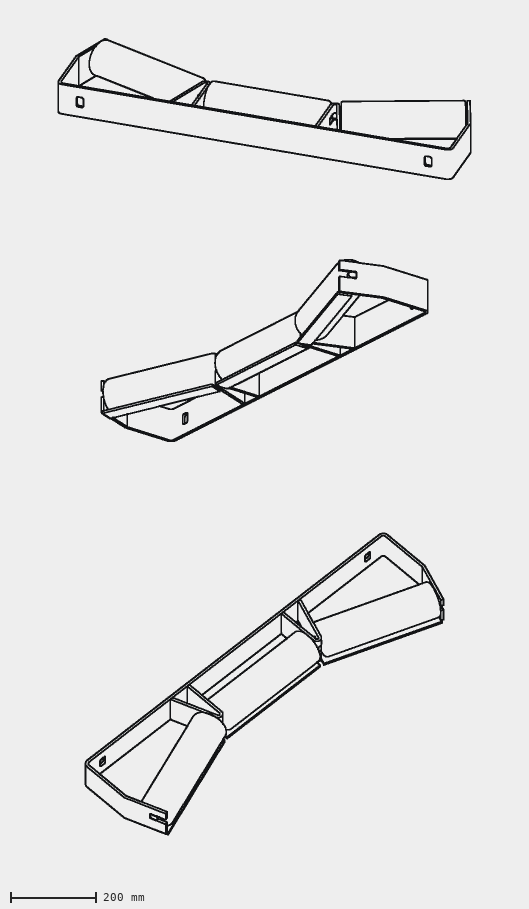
import cadquery as cq
import math

frame_length = 980.0
strip_height = 79.0
strip_thickness = 7.0
frame_corner_radius = 14.0
arm_bend_radius = 8.0
arm_tip_y = 241.0

bracket_fold_radius = 11.0

trough_angle = 20.0
roller_radius = 44.0
roller_length = 292.0
roller_edge_radius = 5.0
roller_axis_z = 47.0
end_gap = 4.0
middle_roller_y = 101.0
side_roller_x = 317.0
side_roller_y = 158.0

axle_diameter = 20.0
axle_flat_height = 14.0
slot_width = 18.0
slot_corner_radius = 4.0

guard_length = 304.0
guard_width = 35.0
guard_thickness = 6.0

bolt_slot_x = 432.0
bolt_slot_width = 18.0
bolt_slot_height = 26.0
bolt_slot_corner_radius = 5.0

half_length = frame_length / 2
tilt = math.radians(trough_angle)
support_offset = roller_length / 2 + end_gap
MIDDLE = (0.0, middle_roller_y, 0.0)
LEFT = (-side_roller_x, side_roller_y, -trough_angle)
RIGHT = (side_roller_x, side_roller_y, trough_angle)
roller_places = [LEFT, MIDDLE, RIGHT]


def place(body, spot):
    """Move a body from the roller's own axes to the spot (x, y, turn about Z)."""
    x, y, turn = spot
    return body.rotate((0, 0, 0), (0, 0, 1), turn).translate((x, y, 0))


def left_support_x(side, depth, y):
    """X at height y of a plane square to the left roller's axis.

    side is -1 for its outer end and +1 for its inner end; depth is measured
    outward from the support face that the roller end looks at.
    """
    along = side * (support_offset + depth)
    axis_x = -side_roller_x + along * math.cos(tilt)
    axis_y = side_roller_y - along * math.sin(tilt)
    return axis_x + (y - axis_y) * math.tan(tilt)


def left_support_y(side, depth, x):
    """Y at which the same plane reaches the given x."""
    return (x - left_support_x(side, depth, 0)) / math.tan(tilt)


def fillet_upright(body, x, y, radius):
    """Round the vertical edge at (x, y)."""
    edge = cq.selectors.NearestToPointSelector((x, y, strip_height / 2))
    return body.edges("|Z").edges(edge).fillet(radius)


def mirrored(body):
    return body.mirror("YZ")


def axle_slots(spot):
    """Cutter for the slots at both ends of one roller, open toward +Y."""
    slot_length = 2 * roller_radius
    slot_reach = 2 * (support_offset + strip_thickness + end_gap)
    slot = (
        cq.Workplane("XY")
        .box(slot_reach, slot_length, slot_width, centered=(True, False, True))
        .edges("|X and <Y")
        .fillet(slot_corner_radius)
        .translate((0, -axle_diameter / 2, roller_axis_z))
    )
    return place(slot, spot)


def make_frame():
    """Long bar with an upright arm at each end that leans inward to its tip."""
    inner_x = half_length - strip_thickness
    outer_bend_y = left_support_y(-1, strip_thickness, -half_length)
    inner_bend_y = left_support_y(-1, 0, -inner_x)
    tip_outer_x = left_support_x(-1, strip_thickness, arm_tip_y)
    tip_inner_y = arm_tip_y - strip_thickness * math.sin(tilt)
    half = (
        cq.Workplane("XY")
        .polyline([
            (0, 0),
            (-half_length, 0),
            (-half_length, outer_bend_y),
            (tip_outer_x, arm_tip_y),
            (left_support_x(-1, 0, tip_inner_y), tip_inner_y),
            (-inner_x, inner_bend_y),
            (-inner_x, strip_thickness),
            (0, strip_thickness),
        ])
        .close()
        .extrude(strip_height)
    )
    half = fillet_upright(half, -half_length, 0, frame_corner_radius)
    half = fillet_upright(half, -inner_x, strip_thickness, frame_corner_radius - strip_thickness)
    half = fillet_upright(half, -half_length, outer_bend_y, arm_bend_radius)
    bolt_slot = (
        cq.Workplane("XY")
        .box(bolt_slot_width, 2 * strip_thickness, bolt_slot_height)
        .edges("|Y")
        .fillet(bolt_slot_corner_radius)
        .translate((-bolt_slot_x, 0, strip_height / 2))
    )
    half = half.cut(bolt_slot).cut(axle_slots(LEFT))
    return half.union(mirrored(half))


def make_left_bracket():
    """Folded strip standing on the frame between the left and middle rollers."""
    foot_y = strip_thickness
    leg_face_x = -support_offset
    leg_back_x = leg_face_x - strip_thickness
    outer_apex_y = left_support_y(1, 0, leg_face_x)
    inner_apex_y = left_support_y(1, strip_thickness, leg_back_x)
    bracket = (
        cq.Workplane("XY")
        .polyline([
            (left_support_x(1, 0, foot_y), foot_y),
            (leg_face_x, outer_apex_y),
            (leg_face_x, foot_y),
            (leg_back_x, foot_y),
            (leg_back_x, inner_apex_y),
            (left_support_x(1, strip_thickness, foot_y), foot_y),
        ])
        .close()
        .extrude(strip_height)
    )
    inner_fold_radius = bracket_fold_radius - strip_thickness
    bracket = fillet_upright(bracket, leg_back_x, inner_apex_y, inner_fold_radius)
    bracket = fillet_upright(bracket, leg_face_x, outer_apex_y, bracket_fold_radius)
    return bracket.cut(axle_slots(LEFT)).cut(axle_slots(MIDDLE))


def make_guard(spot):
    """Flat plate under the +Y half of a roller."""
    guard = (
        cq.Workplane("XY")
        .box(guard_length, guard_width, guard_thickness, centered=(True, False, False))
        .translate((0, 0, -guard_thickness))
    )
    return place(guard, spot)


def make_roller(spot):
    """Drum on a flatted axle whose ends are flush with the outsides of its supports."""
    drum = (
        cq.Workplane("YZ")
        .circle(roller_radius)
        .extrude(roller_length)
        .translate((-roller_length / 2, 0, 0))
        .edges()
        .fillet(roller_edge_radius)
    )
    axle_length = 2 * (support_offset + strip_thickness)
    axle = (
        cq.Workplane("YZ")
        .circle(axle_diameter / 2)
        .extrude(axle_length)
        .translate((-axle_length / 2, 0, 0))
    )
    flats = cq.Workplane("XY").box(axle_length, axle_diameter, axle_flat_height)
    roller = drum.union(axle.intersect(flats)).translate((0, 0, roller_axis_z))
    return place(roller, spot)


frame = make_frame()
left_bracket = make_left_bracket()
brackets = [left_bracket, mirrored(left_bracket)]
rollers = [make_roller(spot) for spot in roller_places]
guards = [make_guard(spot) for spot in roller_places]

bodies = [frame, *brackets, *rollers, *guards]
result = cq.Compound.makeCompound([body.val() for body in bodies])